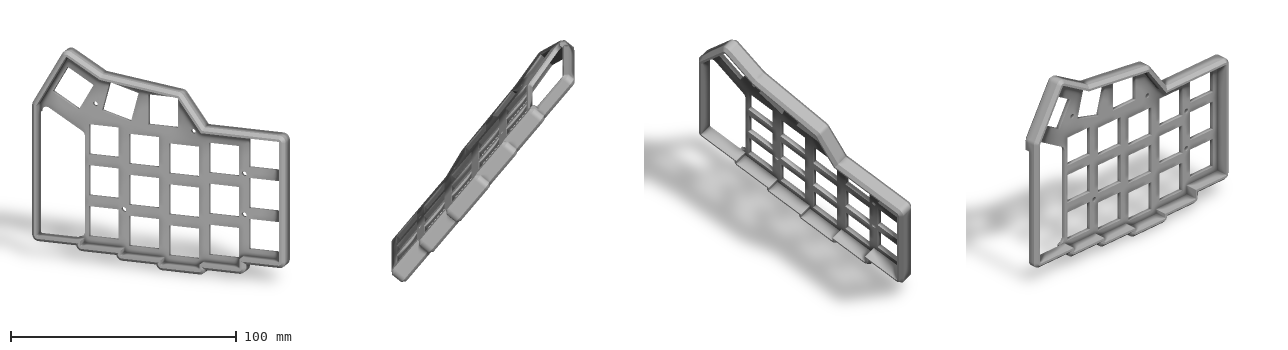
import cadquery as cq
import math


case_width = 120.2
case_depth = 8.0
plate_thickness = 2.0
outer_radius = 3.0
cavity_radius = 0.5
edge_chamfer = 1.5

pitch = 19.0
key_size = 14.2
rows = 3
stagger = pitch / 8
first_column_x = 32.2
lowest_row_z = 12.6
column_lifts = [2 * stagger, stagger, 0, stagger, 3 * stagger]
column_xs = [first_column_x + i * pitch for i in range(len(column_lifts))]
thumb_keys = [
    (17.7, 78.2, -30),
    (40.0, 74.4, -15),
    (60.3, 72.2, 0),
]

screw_diameter = 2.3
between_first_columns = first_column_x + pitch / 2
between_last_columns = column_xs[-1] - pitch / 2
lower_screw_z = 28.4
screw_points = [
    (28.1, 72.1),
    (74.6, 64.4),
    (between_first_columns, 24.6),
    (between_last_columns, lower_screw_z),
    (between_last_columns, lower_screw_z + pitch),
]

left_x = outer_radius
right_x = case_width - outer_radius
floor_z = outer_radius
top_z = 65.5
first_step_x = 23.8
step_xs = [first_step_x + i * pitch for i in range(3)]
first_rise_x = 79.3
rise_xs = [first_rise_x, first_rise_x + pitch]
floor_zs = [floor_z + i * stagger for i in range(4)]
outline_points = [
    (left_x, floor_zs[3]),
    (step_xs[0], floor_zs[3]),
    (step_xs[0], floor_zs[2]),
    (step_xs[1], floor_zs[2]),
    (step_xs[1], floor_zs[1]),
    (step_xs[2], floor_zs[1]),
    (step_xs[2], floor_zs[0]),
    (rise_xs[0], floor_zs[0]),
    (rise_xs[0], floor_zs[1]),
    (rise_xs[1], floor_zs[1]),
    (rise_xs[1], floor_zs[3]),
    (right_x, floor_zs[3]),
    (right_x, top_z),
    (80.3, top_z),
    (69.2, 80.5),
    (32.5, 85.0),
    (16.8, 93.8),
    (left_x, 70.0),
]

window_right = step_xs[0] - cavity_radius
window_left = left_x - cavity_radius
window_bottom = floor_zs[3] - cavity_radius
window_corner_z = 58.2
window_slope = math.radians(30)
window_radius = 3.0
window_left_radius = 2.5
window_chamfer = 0.6
outside = 6


def outline(offset, start):
    """Case outline grown by an offset, on a plane `start` in front of the back face."""
    plane = cq.Workplane("XZ", origin=(0, -start, 0))
    return plane.polyline(outline_points).close().offset2D(offset, "arc")


def case_body(back):
    """Plate and walls with a cavity; the walls start at `back` and both rims are chamfered."""
    block = outline(outer_radius, back).extrude(case_depth - back)
    block = block.faces("<Y or >Y").edges().chamfer(edge_chamfer)
    return block.cut(outline(cavity_radius, plate_thickness).extrude(case_depth))


def window_profile():
    """Window with rounded corners whose ends run straight out through the left and bottom walls."""
    top_left_z = window_corner_z + (window_right - window_left) * math.tan(window_slope)
    along_slope = (math.cos(window_slope), math.sin(window_slope))
    right_run = window_radius * math.tan(window_slope)
    left_run = window_left_radius / math.tan(window_slope)
    bottom_arc_x = window_right - window_radius
    far_x = window_left - outside
    far_z = window_bottom - outside
    return (
        cq.Workplane("XZ")
        .moveTo(bottom_arc_x, far_z)
        .lineTo(bottom_arc_x, window_bottom)
        .radiusArc((window_right, window_bottom + window_radius), -window_radius)
        .lineTo(window_right, window_corner_z - right_run)
        .radiusArc(
            (window_right - right_run * along_slope[0], window_corner_z + right_run * along_slope[1]),
            -window_radius,
        )
        .lineTo(window_left + left_run * along_slope[0], top_left_z - left_run * along_slope[1])
        .radiusArc((window_left, top_left_z - left_run), -window_left_radius)
        .lineTo(far_x, top_left_z - left_run)
        .lineTo(far_x, far_z)
        .close()
    )


def key_hole(x, z, angle=0):
    """Square cutter through the plate, turned counter-clockwise as seen from the open side."""
    blank = cq.Workplane("XZ").rect(key_size, key_size).extrude(plate_thickness)
    return blank.rotate((0, 0, 0), (0, 1, 0), -angle).translate((x, 0, z))


window_zone = window_profile().extrude(case_depth)
window_edge = window_profile().offset2D(window_chamfer).extrude(window_chamfer, taper=45)
result = case_body(0).cut(window_zone).cut(window_edge)

low_walls = case_body(plate_thickness).intersect(window_zone)
result = result.union(low_walls)

for column_x, lift in zip(column_xs, column_lifts):
    for row in range(rows):
        result = result.cut(key_hole(column_x, lowest_row_z + lift + row * pitch))
for thumb_x, thumb_z, thumb_angle in thumb_keys:
    result = result.cut(key_hole(thumb_x, thumb_z, thumb_angle))

screws = cq.Workplane("XZ").pushPoints(screw_points).circle(screw_diameter / 2)
result = result.cut(screws.extrude(plate_thickness))